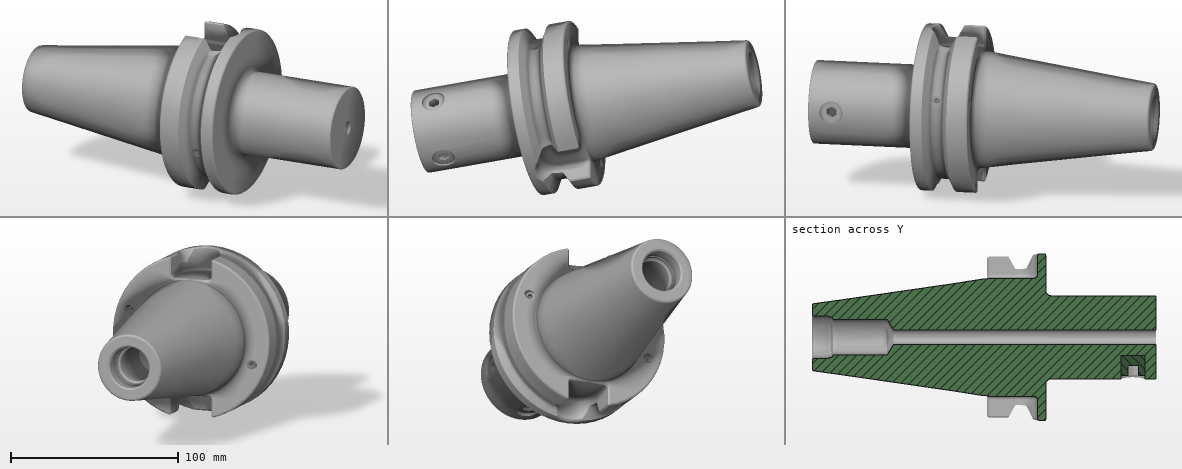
import cadquery as cq
import math


gauge_radius = 69.85 / 2
taper_length = 101.8
taper_ratio = 7 / 24
shank_end_x = -taper_length
shank_end_radius = gauge_radius - taper_length * taper_ratio / 2
shank_end_round = 1.5

flange_start_x = 3.0
flange_end_x = 38.0
flange_radius = 50.0
flange_round = 1.2
neck_fillet = 1.0
groove_centre_x = 23.1
groove_floor_radius = 42.5
groove_floor_width = 6.4
groove_wall_angle = 30.0
groove_corner_round = 1.0
groove_wall_run = (flange_radius - groove_floor_radius) * math.tan(math.radians(groove_wall_angle))
floor_start_x = groove_centre_x - groove_floor_width / 2
floor_end_x = groove_centre_x + groove_floor_width / 2
groove_start_x = floor_start_x - groove_wall_run
groove_end_x = floor_end_x + groove_wall_run

nose_radius = 25.0
nose_end_x = 104.0
nose_fillet = 3.0
nose_chamfer = 0.5

mouth_radius = 13.5
mouth_chamfer = 1.0
counterbore_radius = 12.5
counterbore_depth = 10.0
relief_radius = 12.0
relief_length = 1.8
countersink_half_angle = 60.0
thread_radius = 10.4
thread_depth = 45.0
drill_half_angle = 59.0
coolant_radius = 4.25

slot_width = 25.7
slot_floor_z = 35.4
slot_floor_fillet = 2.0
slot_arc_x = 20.0
slot_edge_chamfer = 1.0

plug_angles = (20.0, 200.0)
plug_radius = 3.0
plug_length = 6.0
plug_socket_width = 3.0
plug_socket_depth = 2.0
face_plug_radial = 41.5
face_plug_tilt = 30.0
face_plug_recess = 2.0
groove_plug_recess = 0.5

clamp_x = 90.0
clamp_angles = (90.0, 180.0)
clamp_radius = 7.0
clamp_recess = 2.0
clamp_length = 12.0
clamp_socket_width = 6.0
clamp_socket_depth = 6.0

hexagon_sides = 6

overcut = 5.0

tolerance = 0.01


class RingAt(cq.Selector):
    """Select the circular edge of a given radius about X at a given X."""

    def __init__(self, x, radius):
        self.x = x
        self.radius = radius

    def filter(self, edges):
        return [
            edge
            for edge in edges
            if edge.geomType() == "CIRCLE"
            and abs(edge.arcCenter().x - self.x) < tolerance
            and abs(edge.radius() - self.radius) < tolerance
        ]


def turned_blank():
    """Revolve the outside outline, then round its turned edges."""
    blank = (
        cq.Workplane("XY")
        .moveTo(shank_end_x, 0)
        .lineTo(shank_end_x, shank_end_radius)
        .lineTo(0, gauge_radius)
        .lineTo(flange_start_x, gauge_radius)
        .lineTo(flange_start_x, flange_radius)
        .lineTo(groove_start_x, flange_radius)
        .lineTo(floor_start_x, groove_floor_radius)
        .lineTo(floor_end_x, groove_floor_radius)
        .lineTo(groove_end_x, flange_radius)
        .lineTo(flange_end_x, flange_radius)
        .lineTo(flange_end_x, nose_radius)
        .lineTo(nose_end_x, nose_radius)
        .lineTo(nose_end_x, 0)
        .close()
        .revolve(360, (0, 0, 0), (1, 0, 0))
    )
    blank = blank.edges(RingAt(shank_end_x, shank_end_radius)).fillet(shank_end_round)
    blank = blank.edges(RingAt(flange_start_x, gauge_radius)).fillet(neck_fillet)
    for corner_x in (floor_start_x, floor_end_x):
        blank = blank.edges(RingAt(corner_x, groove_floor_radius)).fillet(groove_corner_round)
    blank = blank.edges(RingAt(flange_end_x, nose_radius)).fillet(nose_fillet)
    for rim_x in (flange_start_x, flange_end_x):
        blank = blank.edges(RingAt(rim_x, flange_radius)).fillet(flange_round)
    return blank.edges(RingAt(nose_end_x, nose_radius)).chamfer(nose_chamfer)


def axial_bore():
    """Draw-bar bore from the shank end, with a drilled cone into the coolant bore."""
    cone_length = (thread_radius - coolant_radius) / math.tan(math.radians(drill_half_angle))
    counterbore_end = shank_end_x + counterbore_depth
    countersink_length = (relief_radius - thread_radius) / math.tan(math.radians(countersink_half_angle))
    relief_end = counterbore_end + relief_length
    thread_end = shank_end_x + thread_depth
    return (
        cq.Workplane("XY")
        .moveTo(shank_end_x, 0)
        .lineTo(shank_end_x, mouth_radius)
        .lineTo(shank_end_x + mouth_chamfer, counterbore_radius)
        .lineTo(counterbore_end, counterbore_radius)
        .lineTo(counterbore_end, relief_radius)
        .lineTo(relief_end, relief_radius)
        .lineTo(relief_end + countersink_length, thread_radius)
        .lineTo(thread_end, thread_radius)
        .lineTo(thread_end + cone_length, coolant_radius)
        .lineTo(nose_end_x, coolant_radius)
        .lineTo(nose_end_x, 0)
        .close()
        .revolve(360, (0, 0, 0), (1, 0, 0))
    )


def drive_slot():
    """Cutter for the +Z drive slot: round end, filleted floor."""
    half_width = slot_width / 2
    start_x = flange_start_x - overcut
    return (
        cq.Workplane("XY", origin=(0, 0, slot_floor_z))
        .moveTo(start_x, -half_width)
        .lineTo(slot_arc_x, -half_width)
        .threePointArc((slot_arc_x + half_width, 0), (slot_arc_x, half_width))
        .lineTo(start_x, half_width)
        .close()
        .extrude(flange_radius - slot_floor_z + overcut)
        .faces("<Z").edges("not <X").fillet(slot_floor_fillet)
    )


class SlotEdges(cq.Selector):
    """Select the outer edges of both drive slots: the flange face, the left rim and the round end."""

    def filter(self, edges):
        return [edge for edge in edges if self.on_straight_wall(edge) or self.on_round_end(edge)]

    def on_straight_wall(self, edge):
        centre = edge.Center()
        on_wall = edge.BoundingBox().ylen < tolerance and abs(abs(centre.y) - slot_width / 2) < tolerance
        above_fillet = abs(centre.z) > slot_floor_z + slot_floor_fillet + tolerance
        return on_wall and above_fillet and centre.x < groove_start_x

    def on_round_end(self, edge):
        box = edge.BoundingBox()
        reaches_end = abs(box.xmax - slot_arc_x - slot_width / 2) < tolerance
        above_groove = abs(edge.Center().z) > groove_floor_radius
        return reaches_end and above_groove


def hole(start, direction, radius, length):
    """Cutter for a blind hole that also clears the surface it starts from."""
    mouth = start - direction * overcut
    return cq.Workplane(cq.Plane(mouth, normal=direction)).circle(radius).extrude(length + overcut)


def screw(start, direction, radius, recess, length, socket_width, socket_depth):
    """Headless screw sunk below its hole's mouth, with a hexagon socket in its outer end."""
    plane = cq.Plane(start + direction * recess, normal=direction)
    socket_diameter = socket_width / math.cos(math.pi / hexagon_sides)
    socket = cq.Workplane(plane).polygon(hexagon_sides, socket_diameter).extrude(socket_depth)
    return cq.Workplane(plane).circle(radius).extrude(length).cut(socket)


def plug(place, recess):
    """Coolant plug for the hole at the given place."""
    return screw(*place, plug_radius, recess, plug_length, plug_socket_width, plug_socket_depth)


def clamp_screw(place):
    """Clamp screw for the nose hole at the given place."""
    return screw(
        *place, clamp_radius, clamp_recess, clamp_length, clamp_socket_width, clamp_socket_depth
    )


def around_axis(x, radial, angle):
    """Point or vector at the given X and radius, turned from -Y towards -Z by the angle."""
    turn = math.radians(angle)
    return cq.Vector(x, -radial * math.cos(turn), -radial * math.sin(turn))


def face_plug_place(angle):
    """Mouth and inward direction of the plug hole in the flange face, leaning towards the axis."""
    tilt = math.radians(face_plug_tilt)
    start = around_axis(flange_start_x, face_plug_radial, angle)
    return start, around_axis(math.cos(tilt), -math.sin(tilt), angle)


def radial_place(x, surface_radius, angle):
    """Mouth and inward direction of a hole that runs straight towards the axis."""
    return around_axis(x, surface_radius, angle), around_axis(0, -1, angle)


holder = turned_blank()
for half_turn in (0, 180):
    holder = holder.cut(drive_slot().rotate((0, 0, 0), (1, 0, 0), half_turn))
holder = holder.edges(SlotEdges()).chamfer(slot_edge_chamfer)
holder = holder.cut(axial_bore())

face_plugs = []
groove_plugs = []
for angle in plug_angles:
    place = face_plug_place(angle)
    holder = holder.cut(hole(*place, plug_radius, face_plug_recess + plug_length))
    face_plugs.append(plug(place, face_plug_recess))

    place = radial_place(groove_centre_x, groove_floor_radius, angle)
    holder = holder.cut(hole(*place, plug_radius, groove_plug_recess + plug_length))
    groove_plugs.append(plug(place, groove_plug_recess))

clamp_screws = []
for angle in clamp_angles:
    place = radial_place(clamp_x, nose_radius, angle)
    holder = holder.cut(hole(*place, clamp_radius, clamp_recess + clamp_length))
    clamp_screws.append(clamp_screw(place))

screws = face_plugs + groove_plugs + clamp_screws
result = cq.Compound.makeCompound([holder.val(), *[body.val() for body in screws]])